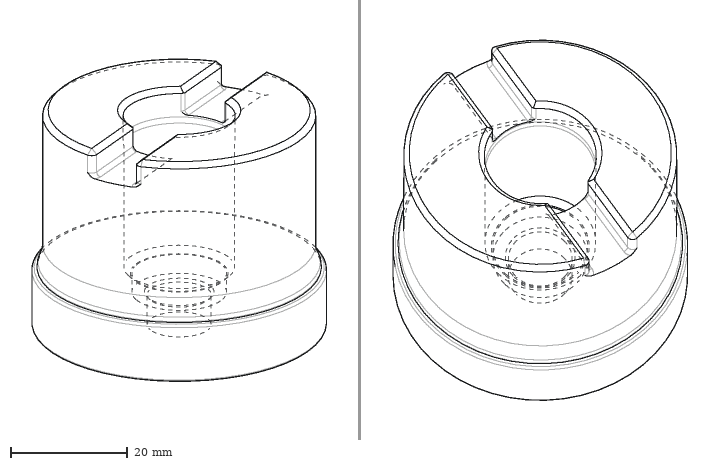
import cadquery as cq
import math

height = 40.0
base_diameter = 50.7
bush_diameter = 47.0
collar_diameter = 48.9

base_height = 10.75
base_top_fall = 0.2
base_rim_fillet = 0.5
base_bottom_fillet = 0.35
centre_hole_diameter = 11.0
centre_hole_chamfer = 0.5
recess_diameter = 16.3
recess_mouth_diameter = 16.85
recess_floor = 6.1

top_chamfer = 0.95
flare_top = 15.0
flare_radius = 7.5
foot_radius = 1.7
bore_diameter = 19.05
entry_diameter = 19.25
entry_bottom = 34.65
entry_taper_length = 1.1

slot_width = 8.0
slot_depth = 4.95
slot_floor_fillet = 0.75
slot_outer_fillet = 1.0
slot_inner_fillet = 0.8


def make_base():
    """Turned plate with a low conical top and a bevelled recess around the centre hole."""
    outer = base_diameter / 2
    collar = collar_diameter / 2
    hole = centre_hole_diameter / 2
    seat = bore_diameter / 2
    recess_mouth = recess_mouth_diameter / 2
    recess_ledge = base_height - (seat - recess_mouth)
    plate = (
        cq.Workplane("XZ")
        .moveTo(hole, 0)
        .lineTo(outer, 0)
        .lineTo(outer, base_height - base_top_fall)
        .lineTo(collar, base_height)
        .lineTo(seat, base_height)
        .lineTo(recess_mouth, recess_ledge)
        .lineTo(recess_diameter / 2, recess_ledge)
        .lineTo(recess_diameter / 2, recess_floor)
        .lineTo(hole + centre_hole_chamfer, recess_floor)
        .lineTo(hole, recess_floor - centre_hole_chamfer)
        .close()
        .revolve(360, (0, 0, 0), (0, 1, 0))
    )
    rim = cq.selectors.RadiusNthSelector(-1)
    plate = plate.faces("<Z").edges(rim).fillet(base_bottom_fillet)
    return plate.edges(rim).edges(">Z").fillet(base_rim_fillet)


def make_bush_blank():
    """Turned bush without its slot: two tangent arcs flare the foot out to the collar."""
    outer = bush_diameter / 2
    collar = collar_diameter / 2
    entry = entry_diameter / 2
    bore = bore_diameter / 2
    flare_angle = math.acos(1 - (collar - outer) / (flare_radius + foot_radius))
    foot_bottom = flare_top - (flare_radius + foot_radius) * math.sin(flare_angle)

    def flare_point(angle):
        return (
            outer + flare_radius * (1 - math.cos(angle)),
            flare_top - flare_radius * math.sin(angle),
        )

    foot_middle = (
        collar - foot_radius * (1 - math.cos(flare_angle / 2)),
        foot_bottom + foot_radius * math.sin(flare_angle / 2),
    )
    return (
        cq.Workplane("XZ")
        .moveTo(bore, base_height)
        .lineTo(collar, base_height)
        .lineTo(collar, foot_bottom)
        .threePointArc(foot_middle, flare_point(flare_angle))
        .threePointArc(flare_point(flare_angle / 2), (outer, flare_top))
        .lineTo(outer, height)
        .lineTo(entry, height)
        .lineTo(entry, entry_bottom)
        .lineTo(bore, entry_bottom - entry_taper_length)
        .close()
        .revolve(360, (0, 0, 0), (0, 1, 0))
    )


def make_slot_space(depth):
    """Slot of the given depth, joined to the open space in the bore and around the bush."""
    plane = cq.Workplane("XY").workplane(offset=height - depth)
    slot = plane.rect(slot_width, base_diameter).extrude(depth)
    inside = plane.circle(entry_diameter / 2).extrude(depth)
    outside = plane.circle(base_diameter).circle(bush_diameter / 2).extrude(depth)
    return slot.union(inside).union(outside)


def round_slot_mouths(space, diameter, fillet):
    """Round the four upright edges where the slot meets the circle of this diameter."""
    half_width = slot_width / 2
    reach = math.sqrt((diameter / 2) ** 2 - half_width**2)
    for side in (-half_width, half_width):
        for end in (-reach, reach):
            corner = (side, end, height)
            space = space.edges("|Z").edges(cq.selectors.NearestToPointSelector(corner)).fillet(fillet)
    return space


def make_bush():
    """Cut the slot down to its chamfers first, chamfer the top, then cut it to full depth."""
    shallow_slot = make_slot_space(slot_depth / 2)
    shallow_slot = round_slot_mouths(shallow_slot, bush_diameter, slot_outer_fillet)
    bush = make_bush_blank().cut(shallow_slot).faces(">Z").edges().chamfer(top_chamfer)

    slot = make_slot_space(slot_depth)
    slot = round_slot_mouths(slot, bush_diameter, slot_outer_fillet)
    slot = round_slot_mouths(slot, entry_diameter, slot_inner_fillet)
    slot = slot.faces("<Z").edges().fillet(slot_floor_fillet)
    return bush.cut(slot)


base = make_base()
bush = make_bush()

result = cq.Compound.makeCompound([base.solids().val(), bush.solids().val()])